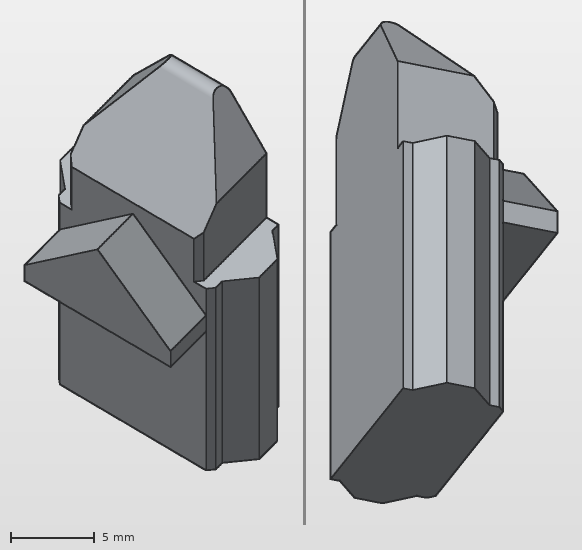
import cadquery as cq
import math

height = 27.5
body_depth = 6.6
edge_chamfer = 0.4

body_height = 17.0
body_half_width = 5.9
overall_width = 15.0
rail_half_width = overall_width / 2
rail_root_back = 0.6
rail_root_front = 5.55
rail_rise = rail_half_width - body_half_width

neck_half_width = 5.0
tip_start = 23.0
tip_half_width = 1.85
tip_radius = 0.75
crest_flat = 0.05
slope_angle = math.radians(50)

boss_half_width = body_half_width - edge_chamfer
boss_bottom = 13.0
boss_apex = 20.0
boss_shoulder = boss_apex - boss_half_width
boss_depth = 3.5


def make_body():
    right_side = [
        (body_half_width, 0),
        (body_half_width, -rail_root_back),
        (rail_half_width, -rail_root_back - rail_rise),
        (rail_half_width, -rail_root_front + rail_rise),
        (body_half_width, -rail_root_front),
        (body_half_width, -body_depth + edge_chamfer),
        (body_half_width - edge_chamfer, -body_depth),
    ]
    left_side = [(-x, y) for x, y in reversed(right_side)]
    return cq.Workplane("XY").polyline(right_side + left_side).close().extrude(body_height)


def make_neck():
    """Chamfered block, trimmed to the tapered front outline and the sloped side outline."""
    block = (
        cq.Workplane("XY")
        .box(2 * neck_half_width, body_depth, height, centered=(True, False, False))
        .translate((0, -body_depth, 0))
        .edges("|Z and <Y")
        .chamfer(edge_chamfer)
    )
    front_outline = (
        cq.Workplane("XZ")
        .moveTo(-neck_half_width, 0)
        .lineTo(neck_half_width, 0)
        .lineTo(neck_half_width, tip_start)
        .lineTo(tip_half_width, height)
        .lineTo(-tip_half_width, height)
        .lineTo(-neck_half_width, tip_start)
        .close()
        .extrude(body_depth)
    )

    crest_z = height - tip_radius
    front_center_y = -tip_radius - crest_flat
    tangent_y = front_center_y - tip_radius * math.sin(slope_angle)
    tangent_z = crest_z + tip_radius * math.cos(slope_angle)
    slope_bottom = tangent_z - (body_depth + tangent_y) * math.tan(slope_angle)
    side_outline = (
        cq.Workplane("YZ")
        .moveTo(0, 0)
        .lineTo(0, crest_z)
        .tangentArcPoint((-tip_radius, height), relative=False)
        .lineTo(front_center_y, height)
        .tangentArcPoint((tangent_y, tangent_z), relative=False)
        .lineTo(-body_depth, slope_bottom)
        .lineTo(-body_depth, 0)
        .close()
        .extrude(neck_half_width, both=True)
    )
    return block.intersect(front_outline).intersect(side_outline)


def make_boss():
    outline = [
        (-boss_half_width, boss_bottom),
        (boss_half_width, boss_bottom),
        (boss_half_width, boss_shoulder),
        (0, boss_apex),
        (-boss_half_width, boss_shoulder),
    ]
    return (
        cq.Workplane("XZ", origin=(0, -body_depth, 0))
        .polyline(outline)
        .close()
        .extrude(boss_depth)
    )


result = make_body().union(make_neck()).union(make_boss())